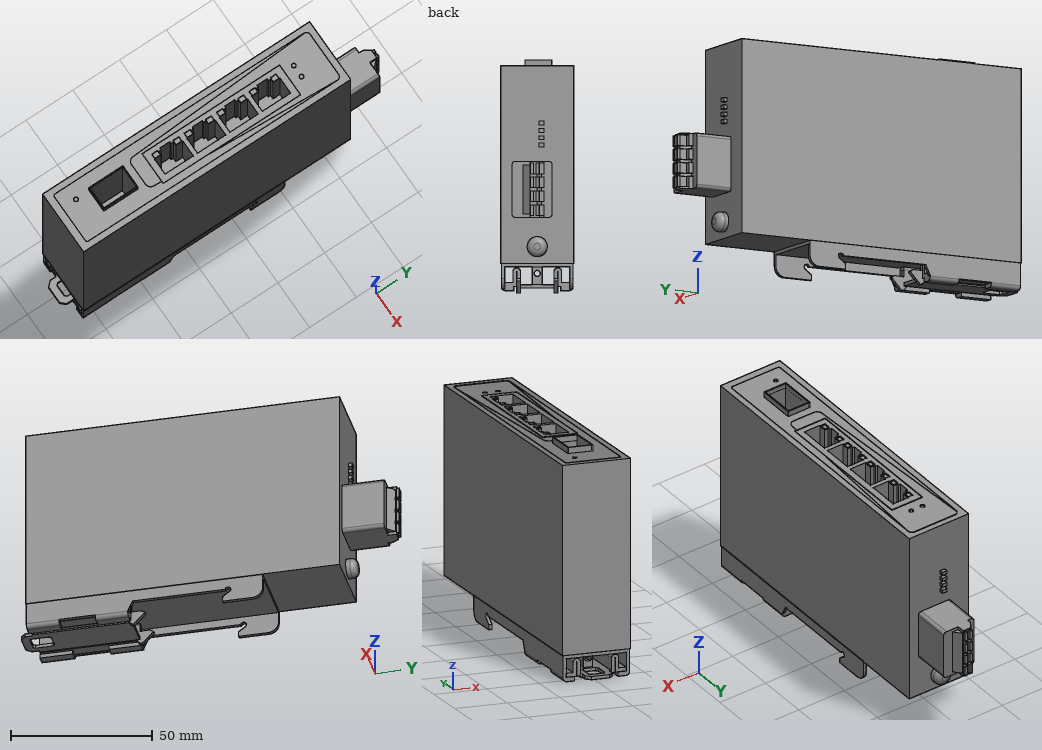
import cadquery as cq
import math

BODY_WIDTH = 26.0
BODY_LENGTH = 114.3
BODY_HEIGHT = 70.0

PANEL_WIDTH = 21.2
PANEL_Y_MIN = 2.9
PANEL_Y_MAX = BODY_LENGTH - 2.5
PANEL_CORNER = 0.8
PANEL_REAR_CORNER = 1.6
STEP = 0.1
PANEL_Z = BODY_HEIGHT - STEP
TAPER_Y_MIN = 32.3
TAPER_FRONT_HALF_WIDTH = 6.5
TAPER_CORNER = 2.2

JACK_COUNT = 4
JACK_PITCH = 13.9
FIRST_JACK_Y = 46.2
JACK_BLOCK_X = (-5.6, 7.7)
JACK_BLOCK_Y = (37.6, 96.5)
JACK_X = (-1.5, 5.2)
JACK_LENGTH = 12.1
JACK_DEPTH = 19.2
KEY_SHOULDER_X = -3.0
KEY_SHOULDER_LENGTH = 6.2
KEY_TIP_X = -3.8
KEY_TIP_LENGTH = 4.3
WINDOW_SIZE = (1.9, 2.5)
WINDOW_X = -2.6
WINDOW_OFFSET = 4.5

INDICATOR_DIAMETER = 1.6
INDICATORS = ((-2.7, 100.5), (2.2, 100.5), (-4.8, 8.8))
WELL_DEPTH = 0.5

CAGE_X = (-5.2, 4.4)
CAGE_Y = (14.4, 29.1)
CAGE_HEIGHT = 2.0
CAGE_WALL = 0.4
CAGE_DEPTH = 27.5

PLUG_X = (-5.2, 8.9)
PLUG_Z = (16.2, 36.1)
PLUG_SHOULDER = 14.0
PLUG_SLOPE_START = 15.7
PLUG_BACK_SHOULDER = 15.2
PLUG_TOP = 18.3
PLUG_LENGTH = 19.2
PLUG_EDGE = 1.2
RIDGE_FOOT_X = -2.5
RIDGE_X = (-0.8, 2.6)
RIDGE_BACK_FOOT_X = 5.1
RIDGE_BACK_TOP = 18.0
POLE_COUNT = 4
POLE_PITCH = 5.0
POLE_WIDTH = 3.8
FIRST_POLE_Z = 18.8
NUB_WIDTH = 1.1
NUB_INSET = 0.1
SLOT_DEPTH = 1.0

LEVER_COUNT = 4
LEVER_PITCH = 2.6
FIRST_LEVER_Z = 41.9
LEVER_SIZE = (1.9, 1.4, 1.4)
LEVER_X = -1.5
SCREW_Z = 5.9
SCREW_RADIUS = 3.6
SCREW_RIM = 1.5
SCREW_HEIGHT = 3.8

BRACKET_WIDTH = 25.4
BRACKET_FRONT = 0.1
BRACKET_REAR = 86.3
SHEET = 1.2
BRACKET_DEPTH = 9.8
RAIL_Z = -4.3
HOOK_Z = -9.0
HOOK_HEEL_RADIUS = 3.7
HOOK_TIP = (71.7, -7.1)
HOOK_ROOT = (74.2, -5.4)
RELIEF_MIDDLE = (74.0, -3.6)
RELIEF_END_Y = 72.5
RAIL_STOP_Y = (37.1, 38.9)
FLANGE_REACH = 4.4
FLANGE_SPANS = ((BRACKET_FRONT, 12.1), (25.3, RAIL_STOP_Y[0]))
BEND_RADIUS = 1.5
LEG_BEND_RADIUS = 1.2
WALL_BOTTOM = -8.1

LATCH_LEG_X = (5.9, 7.3, 8.7)
LATCH_TOP = -1.6
LATCH_LEG_FRONT = 0.5
LATCH_FOOT_Z = (-8.2, -6.7)
FOLD_GAP = 0.1
CATCH_OUTLINE = ((35.7, -5.4), (35.7, -8.2), (36.8, -10.0), (37.9, -10.6), (42.2, -6.2), (41.0, -5.4))
STRAP_Z = (-8.8, -7.5)
LATCH_FRONT = -3.8
HANDLE_HALF_WIDTH = 5.2
HANDLE_CHAMFER = 1.8
HANDLE_HOLE_HALF_WIDTH = 3.0
HANDLE_HOLE_Y = (-1.0, 6.9)
HANDLE_HOLE_CHAMFER = 0.7
TAB_WIDTH = 3.6
TAB_HOLE_DIAMETER = 2.0
TAB_HOLE_Z = -3.6
EYELET_DIAMETER = 3.5
EYELET_THICKNESS = 0.4
TAB_Y = 8.2


def box(x, y, z):
    """Box from its (min, max) pair along each axis."""
    return cq.Workplane("XY").box(x[1] - x[0], y[1] - y[0], z[1] - z[0], centered=False).translate(
        (x[0], y[0], z[0])
    )


def centered_pair(center, size):
    return (center - size / 2, center + size / 2)


def mirrored(shape):
    """The shape together with its mirror image across X = 0."""
    return shape.union(shape.mirror("YZ"))


def plan(points, z_min, z_max):
    """Prism on an (x, y) outline."""
    return cq.Workplane("XY").workplane(offset=z_min).polyline(points).close().extrude(z_max - z_min)


def jack_centers():
    """Y of each jack centre, front to rear."""
    return [FIRST_JACK_Y + i * JACK_PITCH for i in range(JACK_COUNT)]


def make_housing():
    housing = box(centered_pair(0, BODY_WIDTH), (0, BODY_LENGTH), (0, BODY_HEIGHT))
    half = PANEL_WIDTH / 2
    panel = box((-half, half), (PANEL_Y_MIN, PANEL_Y_MAX), (PANEL_Z, BODY_HEIGHT))
    panel = panel.edges("|Z and <Y").fillet(PANEL_CORNER)
    panel = panel.edges("|Z and >Y").fillet(PANEL_REAR_CORNER)
    front = TAPER_FRONT_HALF_WIDTH
    outline = [(-half, PANEL_Y_MAX), (-front, TAPER_Y_MIN), (front, TAPER_Y_MIN), (half, PANEL_Y_MAX)]
    taper = plan(outline, PANEL_Z - STEP, PANEL_Z)
    taper = taper.edges("|Z and <Y").fillet(TAPER_CORNER)
    taper = taper.intersect(panel.translate((0, 0, -STEP)))
    housing = housing.cut(panel).cut(taper)
    return housing.union(box(JACK_BLOCK_X, JACK_BLOCK_Y, (PANEL_Z - STEP, BODY_HEIGHT)))


def cut_jacks(body):
    for y in jack_centers():
        z = (BODY_HEIGHT - JACK_DEPTH, BODY_HEIGHT)
        opening = box(JACK_X, centered_pair(y, JACK_LENGTH), z)
        opening = opening.union(box((KEY_SHOULDER_X, JACK_X[1]), centered_pair(y, KEY_SHOULDER_LENGTH), z))
        opening = opening.union(box((KEY_TIP_X, JACK_X[1]), centered_pair(y, KEY_TIP_LENGTH), z))
        body = body.cut(opening)
        for side in (-1, 1):
            window_x = centered_pair(WINDOW_X, WINDOW_SIZE[0])
            window_y = centered_pair(y + side * WINDOW_OFFSET, WINDOW_SIZE[1])
            body = body.cut(box(window_x, window_y, (BODY_HEIGHT - WELL_DEPTH, BODY_HEIGHT)))
    return body


def cut_indicators(body):
    wells = cq.Workplane("XY").workplane(offset=BODY_HEIGHT).pushPoints(INDICATORS)
    return body.cut(wells.circle(INDICATOR_DIAMETER / 2).extrude(-STEP - WELL_DEPTH))


def add_cage(body):
    top = BODY_HEIGHT + CAGE_HEIGHT
    body = body.union(box(CAGE_X, CAGE_Y, (PANEL_Z - STEP, top)))
    inner_x = (CAGE_X[0] + CAGE_WALL, CAGE_X[1] - CAGE_WALL)
    inner_y = (CAGE_Y[0] + CAGE_WALL, CAGE_Y[1] - CAGE_WALL)
    return body.cut(box(inner_x, inner_y, (top - CAGE_DEPTH, top)))


def make_plug():
    """Plug body with a sloped ridge that carries one pair of nubs per pole."""
    z_min, z_max = PLUG_Z
    base = box(PLUG_X, (0, PLUG_SHOULDER), PLUG_Z)
    base = base.union(box((RIDGE_FOOT_X, PLUG_X[1]), (0, PLUG_BACK_SHOULDER), PLUG_Z))
    base = base.edges("|Y and <X").fillet(PLUG_EDGE).edges("|Y and >X").fillet(PLUG_EDGE)

    ridge_outline = [
        (RIDGE_FOOT_X, 0),
        (RIDGE_FOOT_X, PLUG_SLOPE_START),
        (RIDGE_X[0], PLUG_TOP),
        (RIDGE_X[1], PLUG_TOP),
        (RIDGE_X[1], 0),
    ]
    ridge = plan(ridge_outline, z_min, z_max)
    gusset_outline = [
        (RIDGE_X[1], 0),
        (RIDGE_X[1], RIDGE_BACK_TOP),
        (RIDGE_BACK_FOOT_X, PLUG_BACK_SHOULDER),
        (RIDGE_BACK_FOOT_X, 0),
    ]
    ridge = ridge.union(plan(gusset_outline, z_min + PLUG_EDGE, z_max - PLUG_EDGE))

    slot_outline = [
        (RIDGE_FOOT_X, PLUG_SHOULDER),
        (RIDGE_FOOT_X + SLOT_DEPTH, PLUG_SHOULDER),
        (RIDGE_X[0] + SLOT_DEPTH, PLUG_TOP - SLOT_DEPTH / 2),
        (RIDGE_X[1], PLUG_TOP - SLOT_DEPTH / 2),
        (RIDGE_X[1], PLUG_TOP),
        (RIDGE_FOOT_X, PLUG_TOP),
    ]
    slot_width = POLE_PITCH - POLE_WIDTH
    plug = base.union(ridge)
    for i in range(POLE_COUNT):
        pole_z = FIRST_POLE_Z + i * POLE_PITCH
        if i:
            slot_top = pole_z - POLE_WIDTH / 2
            plug = plug.cut(plan(slot_outline, slot_top - slot_width, slot_top))
        pole_face = (PLUG_SLOPE_START, PLUG_TOP)
        plug = plug.cut(box((RIDGE_FOOT_X, RIDGE_X[0]), pole_face, centered_pair(pole_z, POLE_WIDTH)))
        nub_z = centered_pair(pole_z, POLE_WIDTH)
        nub_y = (PLUG_SHOULDER, PLUG_LENGTH)
        nub_edges = (RIDGE_X[0] + NUB_INSET, RIDGE_X[1] - NUB_INSET)
        plug = plug.union(box((nub_edges[0], nub_edges[0] + NUB_WIDTH), nub_y, nub_z))
        plug = plug.union(box((nub_edges[1] - NUB_WIDTH, nub_edges[1]), nub_y, nub_z))
    return plug.translate((0, BODY_LENGTH, 0))


def make_levers():
    width, reach, height = LEVER_SIZE
    y = (BODY_LENGTH, BODY_LENGTH + reach)
    levers = cq.Workplane("XY")
    for i in range(LEVER_COUNT):
        z = centered_pair(FIRST_LEVER_Z + i * LEVER_PITCH, height)
        levers = levers.add(box(centered_pair(LEVER_X, width), y, z))
    return levers.combine()


def make_screw():
    """Round screw head with a straight rim and a domed edge."""
    face = cq.Workplane("XZ", origin=(0, BODY_LENGTH, SCREW_Z))
    head = face.circle(SCREW_RADIUS).extrude(-SCREW_HEIGHT)
    return head.faces(">Y").edges().fillet(SCREW_HEIGHT - SCREW_RIM)


def make_bracket():
    half = BRACKET_WIDTH / 2
    heel = HOOK_HEEL_RADIUS
    heel_mid = heel * (1 - math.sqrt(0.5))
    side = (
        cq.Workplane("YZ")
        .workplane(offset=-half)
        .moveTo(BRACKET_FRONT, 0)
        .lineTo(BRACKET_REAR, 0)
        .lineTo(BRACKET_REAR, HOOK_Z + heel)
        .threePointArc((BRACKET_REAR - heel_mid, HOOK_Z + heel_mid), (BRACKET_REAR - heel, HOOK_Z))
        .lineTo(HOOK_TIP[0], HOOK_Z)
        .lineTo(*HOOK_TIP)
        .lineTo(*HOOK_ROOT)
        .threePointArc(RELIEF_MIDDLE, (RELIEF_END_Y, RAIL_Z))
        .lineTo(RAIL_STOP_Y[1], RAIL_Z)
        .lineTo(RAIL_STOP_Y[0], WALL_BOTTOM)
        .lineTo(BRACKET_FRONT, WALL_BOTTOM)
        .close()
        .extrude(SHEET)
    )
    for y in FLANGE_SPANS:
        flange = box((-half, -half + FLANGE_REACH), y, (-BRACKET_DEPTH, WALL_BOTTOM))
        flange = flange.edges("|Y and <X and <Z").fillet(BEND_RADIUS)
        side = side.union(flange)
    roof = box((-half, half), (BRACKET_FRONT, BRACKET_REAR), (-SHEET, 0))
    return roof.union(mirrored(side))


def make_latch():
    inner, fold, outer = LATCH_LEG_X
    wall_x = BRACKET_WIDTH / 2 - SHEET
    length = (LATCH_LEG_FRONT, RAIL_STOP_Y[0])
    leg = box((inner, outer), length, (LATCH_FOOT_Z[0], LATCH_TOP))
    leg = leg.edges("|Y and >Z").fillet(LEG_BEND_RADIUS)
    seam = box(centered_pair(fold, FOLD_GAP), length, (LATCH_FOOT_Z[0], LATCH_TOP - SHEET))
    leg = leg.cut(seam)
    leg = leg.union(box((outer - SHEET, wall_x), length, LATCH_FOOT_Z))
    catch = (
        cq.Workplane("YZ")
        .workplane(offset=inner)
        .polyline(CATCH_OUTLINE)
        .close()
        .extrude(fold - inner)
    )
    strap = box((-inner, inner), length, STRAP_Z)
    handle = box((-HANDLE_HALF_WIDTH, HANDLE_HALF_WIDTH), (LATCH_FRONT, LATCH_LEG_FRONT), STRAP_Z)
    handle = handle.edges("|Z and <Y").chamfer(HANDLE_CHAMFER)
    hole = box((-HANDLE_HOLE_HALF_WIDTH, HANDLE_HOLE_HALF_WIDTH), HANDLE_HOLE_Y, STRAP_Z)
    hole = hole.edges("|Z").chamfer(HANDLE_HOLE_CHAMFER)
    return mirrored(leg.union(catch)).union(strap.union(handle).cut(hole))


def make_spring_tab():
    """Upright tab with a spring hole, joining the bracket roof and the latch strap."""
    y = (TAB_Y, TAB_Y + SHEET)
    tab = box(centered_pair(0, TAB_WIDTH), y, (STRAP_Z[1], -SHEET))
    spring_axis = cq.Workplane("XZ", origin=(0, y[1], TAB_HOLE_Z))
    length = SHEET + EYELET_THICKNESS
    eyelet = spring_axis.circle(EYELET_DIAMETER / 2).extrude(length)
    hole = spring_axis.circle(TAB_HOLE_DIAMETER / 2).extrude(length)
    return tab.union(eyelet).cut(hole)


body = cut_indicators(cut_jacks(make_housing()))
body = add_cage(body)
body = body.union(make_plug()).union(make_levers()).union(make_screw())
result = body.union(make_bracket()).union(make_latch()).union(make_spring_tab())